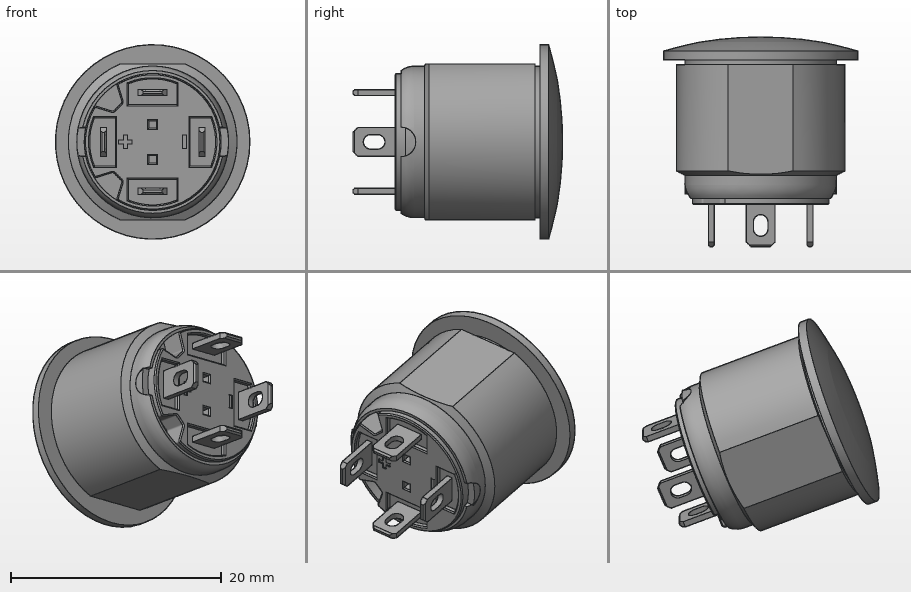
import cadquery as cq
import math


cap_radius = 18.5 / 2
dome_inner_radius = 5.87
dome_inner_drop = 0.5
dome_drop = 1.34
cap_back_depth = 2.17

neck_radius = 14.42 / 2
body_radius = 8.02
flat_half_height = 7.4
body_front_depth = 2.63
body_back_depth = 12.73
body_chamfer_length = 0.42

lip_start_depth = 14.1
lip_start_radius = 7.2
lip_end_depth = 15.36
lip_end_radius = 6.78

base_radius = 6.5
base_depth = 15.95
edge_chamfer = 0.12
chamfer_angle = 45

tab_radius = 1.4
tab_end_depth = 14.92

notch_outer_far = 5.75
notch_outer_near = 3.51
notch_inner_far = 3.75
notch_inner_near = 2.9
notch_depth = 2.4
base_start_depth = base_depth - notch_depth
notch_corner_radius = 0.2

pocket_half_width = 2.3
pocket_inner_edge = 3.55
pocket_outer_radius = 5.98
pocket_depth = 0.5

terminal_offset = 4.69
terminal_width = 2.75
terminal_thickness = 0.58
terminal_tip_depth = 19.95
terminal_corner = 0.48
terminal_tip_bevel = 0.18
eyelet_width = 1.35
eyelet_length = 2.03
eyelet_depth = 17.92

square_hole_size = 0.7
square_hole_offset = 1.65
square_hole_depth = 1.0
mark_length = 1.3
mark_width = 0.38
mark_depth = 0.14
mark_plus_x = -2.6
mark_minus_x = 3.03


def plane_at(depth):
    """Sketch plane behind the crown: local x is X, local y is Z, extrusion goes to -Y."""
    return cq.Workplane("XZ", origin=(0, -depth, 0))


def tangent_arc_middle(start_radius, start_depth, end_radius, end_depth):
    """Middle point of an arc that starts parallel to the axis and curves inwards."""
    length = end_depth - start_depth
    drop = start_radius - end_radius
    arc_radius = (length**2 + drop**2) / (2 * drop)
    half_angle = math.asin(length / arc_radius) / 2
    radius = start_radius - arc_radius * (1 - math.cos(half_angle))
    return radius, -(start_depth + arc_radius * math.sin(half_angle))


def sphere_drop(radius, rim_radius, rim_drop):
    """Drop below the crown, at a radius, of the sphere that passes through a rim."""
    sphere_radius = (rim_radius**2 + rim_drop**2) / (2 * rim_drop)
    return sphere_radius - math.sqrt(sphere_radius**2 - radius**2)


def crown_middle():
    """Point on the central crown halfway out to the inner ring."""
    radius = dome_inner_radius / 2
    return radius, -sphere_drop(radius, dome_inner_radius, dome_inner_drop)


def dome_middle():
    """Point on the outer dome halfway between the inner ring and the rim."""
    radius = (dome_inner_radius + cap_radius) / 2
    return radius, -sphere_drop(radius, cap_radius, dome_drop)


def make_shell():
    """Cap, neck and rounded rear lip as one turned piece."""
    lip_middle = tangent_arc_middle(lip_start_radius, lip_start_depth, lip_end_radius, lip_end_depth)
    profile = (
        cq.Workplane("XY")
        .moveTo(0, 0)
        .threePointArc(crown_middle(), (dome_inner_radius, -dome_inner_drop))
        .threePointArc(dome_middle(), (cap_radius, -dome_drop))
        .lineTo(cap_radius, -cap_back_depth)
        .lineTo(neck_radius, -cap_back_depth)
        .lineTo(neck_radius, -body_back_depth)
        .lineTo(lip_start_radius, -lip_start_depth)
        .threePointArc(lip_middle, (lip_end_radius, -lip_end_depth))
        .lineTo(0, -lip_end_depth)
        .close()
    )
    return profile.revolve(360, (0, 0, 0), (0, 1, 0))


def make_body():
    """Large cylinder with a tapered rear edge and flats on top and bottom."""
    chamfer_end = body_back_depth + body_chamfer_length
    profile = (
        cq.Workplane("XY")
        .moveTo(0, -body_front_depth)
        .lineTo(body_radius, -body_front_depth)
        .lineTo(body_radius, -body_back_depth)
        .lineTo(neck_radius, -chamfer_end)
        .lineTo(0, -chamfer_end)
        .close()
    )
    turned = profile.revolve(360, (0, 0, 0), (0, 1, 0))
    flats = (
        plane_at(body_front_depth)
        .rect(2 * body_radius, 2 * flat_half_height)
        .extrude(chamfer_end - body_front_depth)
    )
    return turned.intersect(flats)


def make_tab_bar():
    """Round bar along X, centred on the end of the lip, that outlines both side tabs."""
    return (
        cq.Workplane("YZ", origin=(-neck_radius, 0, 0))
        .center(-lip_end_depth, 0)
        .circle(tab_radius)
        .extrude(2 * neck_radius)
    )


def make_side_tabs():
    """Round-topped tabs, at the full neck radius, on the -X and +X sides."""
    neck = plane_at(body_back_depth).circle(neck_radius).extrude(tab_end_depth - body_back_depth)
    return make_tab_bar().intersect(neck)


def make_tab_gaps():
    """Gaps through the rear lip behind each tab, down to the base disc."""
    gap_length = lip_end_depth - tab_end_depth
    ring = plane_at(tab_end_depth).circle(neck_radius).circle(base_radius).extrude(gap_length)
    return make_tab_bar().intersect(ring)


def make_notch():
    """Cutter for the upper left notch, open towards the rim of the base disc."""
    reach = neck_radius
    return (
        plane_at(base_start_depth)
        .polyline([
            (-notch_outer_near, notch_outer_far),
            (-notch_inner_near, notch_inner_far),
            (-notch_inner_far, notch_inner_near),
            (-notch_outer_far, notch_outer_near),
            (-reach, notch_outer_near),
            (-reach, reach),
            (-notch_outer_near, reach),
        ])
        .close()
        .extrude(notch_depth)
    )


def make_base():
    """Base disc with its two notches cut away and its rear rim chamfered."""
    disc = plane_at(base_start_depth).circle(base_radius).extrude(notch_depth)
    upper_notch = make_notch()
    disc = disc.cut(upper_notch).cut(upper_notch.mirror("XY"))
    notch_corners = cq.selectors.BoxSelector(
        (-base_radius, -base_depth, -base_radius),
        (0, -base_start_depth, base_radius),
    )
    disc = disc.edges("|Y").edges(notch_corners).fillet(notch_corner_radius)
    return disc.faces("<Y").edges().chamfer(edge_chamfer)


def make_pocket():
    """Cutter for the upper pocket: straight sides and an arc facing the rim."""
    corner_height = math.sqrt(pocket_outer_radius**2 - pocket_half_width**2)
    return (
        plane_at(base_depth - pocket_depth)
        .moveTo(-pocket_half_width, pocket_inner_edge)
        .lineTo(pocket_half_width, pocket_inner_edge)
        .lineTo(pocket_half_width, corner_height)
        .threePointArc((0, pocket_outer_radius), (-pocket_half_width, corner_height))
        .close()
        .extrude(pocket_depth)
    )


def flare(cutter):
    """Widen the mouth of a cutter so that it leaves a chamfered rim."""
    mouth = cutter.faces("<Y").wires().toPending().offset2D(edge_chamfer, "intersection")
    rim = mouth.extrude(-edge_chamfer, taper=chamfer_angle)
    return cutter.union(rim)


def make_square_hole():
    """Cutter for the upper of the two small square holes."""
    return (
        plane_at(base_depth - square_hole_depth)
        .center(0, square_hole_offset)
        .rect(square_hole_size, square_hole_size)
        .extrude(square_hole_depth)
    )


def make_marks():
    """Cutters for the plus and minus polarity marks."""
    face = plane_at(base_depth - mark_depth)
    upright_bars = (
        face.pushPoints([(mark_plus_x, 0), (mark_minus_x, 0)])
        .rect(mark_width, mark_length)
        .extrude(mark_depth)
    )
    cross_bar = face.center(mark_plus_x, 0).rect(mark_length, mark_width).extrude(mark_depth)
    return upright_bars.union(cross_bar)


def make_terminal():
    """Upper flat terminal with clipped corners, bevelled tip and an eyelet."""
    root_depth = base_depth - pocket_depth
    blade = (
        plane_at(root_depth)
        .center(0, terminal_offset)
        .rect(terminal_width, terminal_thickness)
        .extrude(terminal_tip_depth - root_depth)
    )
    blade = blade.faces("<Y").edges("|Z").chamfer(terminal_corner)
    blade = blade.faces("<Y").edges("|X").chamfer(terminal_tip_bevel)
    eyelet = (
        cq.Workplane("XY", origin=(0, -eyelet_depth, terminal_offset - terminal_thickness))
        .slot2D(eyelet_length, eyelet_width, 90)
        .extrude(2 * terminal_thickness)
    )
    return blade.cut(eyelet)


def turned_about_axis(shape, angle):
    """Copy of a shape turned about the Y axis."""
    return shape.rotate((0, 0, 0), (0, 1, 0), angle)


base_well = plane_at(base_start_depth).circle(base_radius).extrude(notch_depth)
result = make_shell().union(make_body())
result = result.cut(base_well)
result = result.union(make_side_tabs().cut(base_well))
result = result.cut(make_tab_gaps())
result = result.union(make_base())

pocket = flare(make_pocket())
square_hole = flare(make_square_hole())
terminal = make_terminal()
for quarter in range(4):
    result = result.cut(turned_about_axis(pocket, 90 * quarter))
for half in range(2):
    result = result.cut(turned_about_axis(square_hole, 180 * half))
result = result.cut(make_marks())
for quarter in range(4):
    result = result.union(turned_about_axis(terminal, 90 * quarter))